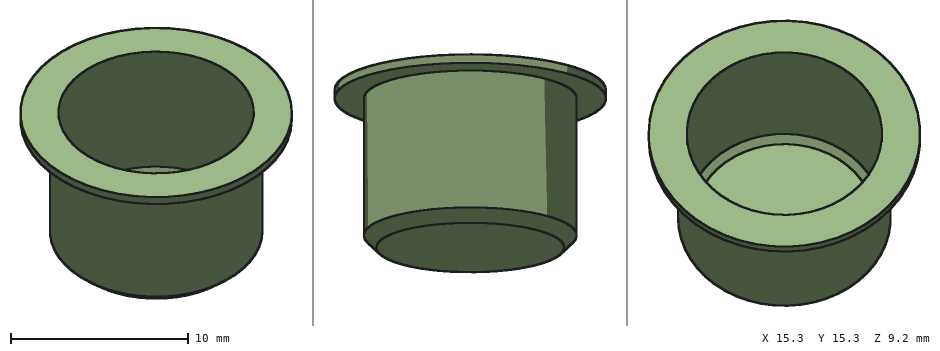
import cadquery as cq
import math

wall = 0.5
height = 9.2
flange_diameter = 15.3
body_diameter = 12.0
chamfer_face_length = 1.0

body_radius = body_diameter / 2
flange_radius = flange_diameter / 2
bore_radius = body_radius - wall

outer_chamfer = chamfer_face_length / math.sqrt(2)
inner_chamfer = outer_chamfer - wall * (2 - math.sqrt(2))


def chamfered_cylinder(radius, bottom, chamfer):
    """Cylinder from the given bottom level up to the rim, with its lower edge chamfered."""
    cylinder = cq.Workplane("XY").workplane(offset=bottom).circle(radius).extrude(height - bottom)
    return cylinder.faces("<Z").edges().chamfer(chamfer)


def rim_flange():
    """Flat disc whose top face is level with the rim."""
    return cq.Workplane("XY").workplane(offset=height - wall).circle(flange_radius).extrude(wall)


body = chamfered_cylinder(body_radius, 0, outer_chamfer)
cavity = chamfered_cylinder(bore_radius, wall, inner_chamfer)

result = body.union(rim_flange()).cut(cavity)